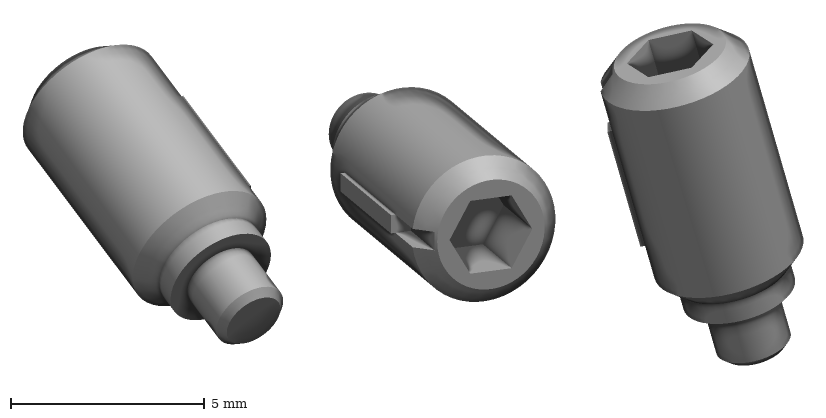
import cadquery as cq

total_length = 9.0
body_diameter = 4.0
neck_diameter = 3.0
pin_diameter = 2.0
body_chamfer = (body_diameter - neck_diameter) / 2
neck_end = 7.3
neck_length = 0.6
pin_chamfer = 0.2

socket_across_flats = 2.0
socket_depth = 2.0

strip_start = 1.7
strip_length = 3.5
strip_width = 0.5
strip_floor = 1.55
strip_top = 2.11


def turned_body():
    """Chamfered body, neck and pin, revolved about the X axis."""
    body_radius = body_diameter / 2
    neck_radius = neck_diameter / 2
    pin_radius = pin_diameter / 2
    neck_start = neck_end - neck_length
    outline = [
        (0, 0),
        (0, body_radius - body_chamfer),
        (body_chamfer, body_radius),
        (neck_start - body_chamfer, body_radius),
        (neck_start, neck_radius),
        (neck_end, neck_radius),
        (neck_end, pin_radius),
        (total_length - pin_chamfer, pin_radius),
        (total_length, pin_radius - pin_chamfer),
        (total_length, 0),
    ]
    return cq.Workplane("XY").polyline(outline).close().revolve(360, (0, 0, 0), (1, 0, 0))


def hex_socket():
    """Hexagonal prism with flats facing +Z and -Z."""
    return (
        cq.Workplane("YZ")
        .transformed(rotate=(0, 0, 90))
        .polygon(6, socket_across_flats, circumscribed=True)
        .extrude(socket_depth)
    )


def side_bar(start, length):
    """Bar along X on the +Y side, from the slot floor to the strip top."""
    return (
        cq.Workplane("XY")
        .box(length, strip_top - strip_floor, strip_width, centered=(False, False, True))
        .translate((start, strip_floor, 0))
    )


open_slot = side_bar(0, strip_start)
locking_strip = side_bar(strip_start, strip_length)

result = turned_body().cut(hex_socket()).cut(open_slot).union(locking_strip)